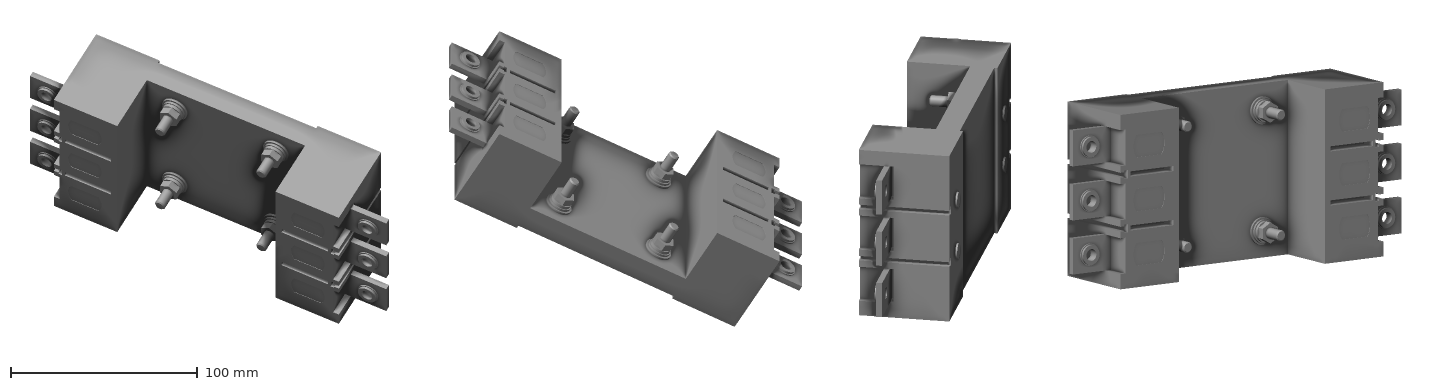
import cadquery as cq
import math

overall_length = 215.0
body_length = 172.0
body_height = 95.0
leg_width = 38.3
leg_depth = 49.5
bridge_front = 34.6
bridge_back = 47.7

terminal_pitch = 29.5
terminal_length = 25.0
terminal_height = 19.5
terminal_front = 13.8
terminal_thickness = 3.2
terminal_back = terminal_front + terminal_thickness
pocket_floor_x = overall_length / 2 - terminal_length
pocket_back = 19.0
slit_height = 18.3
slit_depth = 2.2

collar_x = 96.8
collar_base_radius = 6.0
collar_base_thickness = 0.6
collar_radius = 5.4
collar_thickness = 2.0
terminal_hole_radius = 3.2

tslot_neck_height = 2.5
tslot_head_height = 4.5
tslot_head_width = 2.2
tslot_depth = 5.0
blind_slot_length = 28.0
blind_slot_height = 2.8
blind_slot_depth = 8.5
blind_slot_x = 65.4
peg_radius = 4.3
peg_height = 1.0

label_x = 67.3
label_length = 20.2
label_flat_length = 16.5
label_height = 12.3
label_depth = 0.2

stud_x = 30.5
stud_z = 33.0
stud_radius = 3.0
stud_length = 18.5
stud_tip_chamfer = 0.6
nut_across_flats = 9.9
washers = [(7.5, 1.3), (6.5, 1.3), (5.8, 1.7)]
nut_thickness = 4.0

terminal_levels = [-terminal_pitch, 0, terminal_pitch]
divider_levels = [-terminal_pitch / 2, terminal_pitch / 2]


def box(x_range, y_range, z_center, height):
    """Box between two X and two Y positions, centred on a Z level."""
    length = x_range[1] - x_range[0]
    depth = y_range[1] - y_range[0]
    corner = cq.Vector(x_range[0], y_range[0], z_center - height / 2)
    return cq.Workplane(cq.Solid.makeBox(length, depth, height, corner))


def forward_plane(x, y, z):
    """Workplane at a point, facing the front (-Y)."""
    return cq.Workplane("XZ", origin=(x, y, z))


def make_block():
    half = body_length / 2
    inner = half - leg_width
    bridge = box((-inner, inner), (bridge_front, bridge_back), 0, body_height)
    left_leg = box((-half, -inner), (0, leg_depth), 0, body_height)
    right_leg = box((inner, half), (0, leg_depth), 0, body_height)
    return bridge.union(left_leg).union(right_leg)


def terminal_pocket(z):
    pocket = box((pocket_floor_x, body_length / 2), (0, pocket_back), z, terminal_height)
    slit_range = (pocket_floor_x - slit_depth, pocket_floor_x)
    slit = box(slit_range, (terminal_back, pocket_back), z, slit_height)
    return pocket.union(slit)


def terminal(z):
    bar = box((pocket_floor_x, overall_length / 2), (terminal_front, terminal_back), z, terminal_height)
    face = forward_plane(collar_x, terminal_front, z)
    base = face.circle(collar_base_radius).extrude(collar_base_thickness)
    collar = face.circle(collar_radius).extrude(collar_thickness)
    hole = forward_plane(collar_x, terminal_back, z).circle(terminal_hole_radius)
    hole = hole.extrude(terminal_thickness + collar_thickness)
    return bar.union(base).union(collar).cut(hole)


def t_slot(z):
    end = body_length / 2
    bottom = end - tslot_depth
    neck = box((bottom, end), (0, leg_depth), z, tslot_neck_height)
    head = box((bottom, bottom + tslot_head_width), (0, leg_depth), z, tslot_head_height)
    return neck.union(head)


def blind_slot(z):
    half = blind_slot_length / 2
    return box((blind_slot_x - half, blind_slot_x + half), (0, blind_slot_depth), z, blind_slot_height)


def back_peg(z):
    return forward_plane(blind_slot_x, leg_depth, z).circle(peg_radius).extrude(-peg_height)


def label_recess(z):
    """Rectangle whose two short sides bulge outwards as arcs."""
    flat = label_flat_length / 2
    end = label_length / 2
    half = label_height / 2
    outline = (
        forward_plane(label_x, 0, z)
        .moveTo(-flat, -half)
        .lineTo(flat, -half)
        .threePointArc((end, 0), (flat, half))
        .lineTo(-flat, half)
        .threePointArc((-end, 0), (-flat, -half))
        .close()
    )
    return outline.extrude(-label_depth)


def stud(x, z):
    shank = forward_plane(x, bridge_front, z).circle(stud_radius).extrude(stud_length)
    assembly = shank.faces("<Y").chamfer(stud_tip_chamfer)
    y = bridge_front
    for radius, thickness in washers:
        assembly = assembly.union(forward_plane(x, y, z).circle(radius).extrude(thickness))
        y -= thickness
    across_corners = nut_across_flats / math.cos(math.pi / 6)
    nut = forward_plane(x, y, z).transformed(rotate=(0, 0, 90)).polygon(6, across_corners)
    return assembly.union(nut.extrude(nut_thickness))


def on_both_ends(shape):
    return shape.union(shape.mirror("YZ"))


result = make_block()
for z in terminal_levels:
    result = result.cut(on_both_ends(terminal_pocket(z)))
    result = result.cut(on_both_ends(label_recess(z)))
    result = result.union(on_both_ends(terminal(z)))
for z in divider_levels:
    result = result.cut(on_both_ends(t_slot(z)))
    result = result.cut(on_both_ends(blind_slot(z)))
    result = result.union(on_both_ends(back_peg(z)))
for z in (-stud_z, stud_z):
    result = result.union(on_both_ends(stud(stud_x, z)))